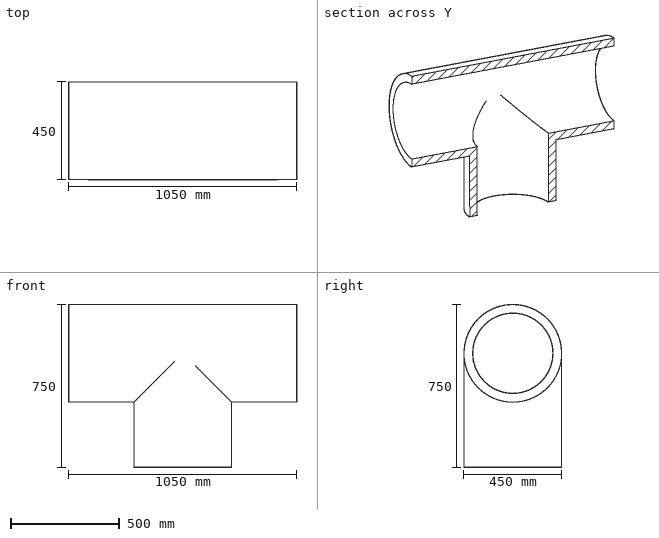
import cadquery as cq

OUTER_DIAMETER = 450.0
BORE_DIAMETER = 368.2
RUN_LENGTH = 1050.0
BRANCH_LENGTH = RUN_LENGTH / 2


def run_cylinder(diameter):
    """Cylinder along X, centred on the origin, over the full run length."""
    return cq.Workplane("YZ").circle(diameter / 2).extrude(RUN_LENGTH / 2, both=True)


def branch_cylinder(diameter):
    """Cylinder from the run axis down to the branch end face."""
    return cq.Workplane("XY").circle(diameter / 2).extrude(-BRANCH_LENGTH)


def tee(diameter):
    """Solid tee whose run and branch share one diameter."""
    return run_cylinder(diameter).union(branch_cylinder(diameter))


result = tee(OUTER_DIAMETER).cut(tee(BORE_DIAMETER))